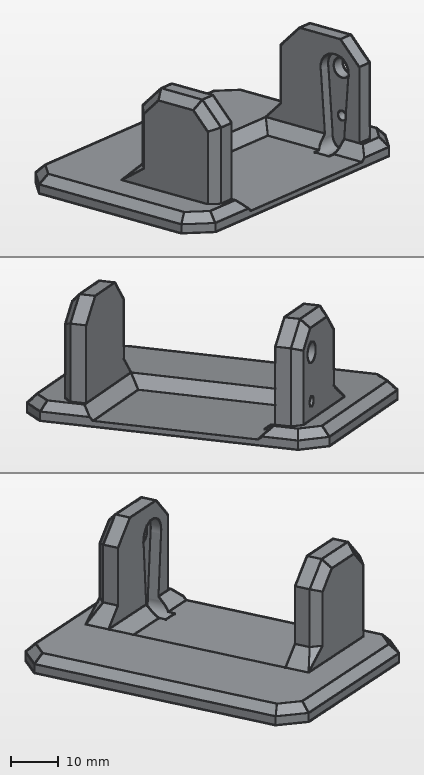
import cadquery as cq

length_x = 48.0
length_y = 68.0
total_height = 26.0
plate_height = 4.0
corner_cut = 5.0
edge_chamfer = 2.0
plate_right = length_x / 2

ear_left = 0.1
ear_right = 21.1
ear_thickness = 5.5
ear_corner = 5.0
inner_gap = 42.5
gap_center_y = 1.4
flare = 3.95
flare_left = ear_left - flare
flare_top = plate_height + flare
back_ear_face = gap_center_y + inner_gap / 2
front_ear_face = gap_center_y - inner_gap / 2

pocket_depth = 2.7

slot_x = 14.5
slot_depth = 2.5
slot_top_z = 18.55
slot_top_radius = 3.75
slot_bottom_z = 2.9
slot_bottom_radius = 2.5
slot_reach = 4.35
large_hole_diameter = 4.5
small_hole_diameter = 2.2
small_hole_z = 7.9


def make_plate():
    block = cq.Workplane("XY").box(length_x, length_y, plate_height, centered=(True, True, False))
    return block.edges("|Z").chamfer(corner_cut).faces(">Z").edges().chamfer(edge_chamfer)


def xz_plane(y):
    """Sketch plane facing +Y, with local axes along -X and Z."""
    return cq.Workplane(cq.Plane(origin=(0, y, 0), xDir=(-1, 0, 0), normal=(0, 1, 0)))


def outline(y, points):
    return xz_plane(y).polyline([(-x, z) for x, z in points]).close()


def tetrahedron(a, b, c, d):
    triangles = [(a, b, c), (a, b, d), (a, c, d), (b, c, d)]
    faces = []
    for triangle in triangles:
        corners = [cq.Vector(*point) for point in triangle]
        faces.append(cq.Face.makeFromWires(cq.Wire.makePolygon(corners, close=True)))
    return cq.Workplane(cq.Solid.makeSolid(cq.Shell.makeShell(faces)))


def make_ear():
    """Ear with its inner face at Y = 0 and its chamfered outer face toward +Y."""
    straight = ear_thickness - edge_chamfer
    root = plate_height - 2 * edge_chamfer
    profile = [
        (ear_left, root),
        (ear_left, total_height - ear_corner),
        (ear_left + ear_corner, total_height),
        (ear_right - ear_corner, total_height),
        (ear_right, total_height - ear_corner),
        (ear_right, root),
    ]
    ear = outline(0, profile).extrude(straight)
    ear = ear.union(outline(straight, profile).extrude(edge_chamfer, taper=45))

    foot_right = ear_left + edge_chamfer
    foot = outline(0, [
        (flare_left, plate_height),
        (ear_left, flare_top),
        (foot_right, flare_top),
        (foot_right, plate_height),
    ]).extrude(ear_thickness)
    foot = foot.cut(tetrahedron(
        (ear_left, straight, flare_top),
        (foot_right, ear_thickness, flare_top),
        (flare_left, ear_thickness, plate_height),
        (ear_left, ear_thickness, flare_top),
    ))
    below = cq.Workplane("XY").box(2 * length_x, length_y, plate_height, centered=(True, True, False))
    return ear.union(foot).cut(below)


def make_pocket():
    overshoot = 2 * pocket_depth
    size_x = plate_right + overshoot - flare_left
    return (
        cq.Workplane("XY", origin=(flare_left + size_x / 2, gap_center_y, plate_height))
        .rect(size_x, inner_gap)
        .extrude(-pocket_depth, taper=45)
    )


def y_cylinder(z, radius, start, end):
    return xz_plane(start).center(-slot_x, z).circle(radius).extrude(end - start)


def make_slot():
    """Two round ends joined by their common tangents, reaching out into the pocket floor."""
    start = back_ear_face - slot_reach
    floor = back_ear_face + slot_depth
    sine = (slot_top_radius - slot_bottom_radius) / (slot_top_z - slot_bottom_z)
    cosine = (1 - sine ** 2) ** 0.5
    right_side = [
        (slot_x + radius * cosine, z + radius * sine)
        for z, radius in ((slot_bottom_z, slot_bottom_radius), (slot_top_z, slot_top_radius))
    ]
    left_side = [(2 * slot_x - x, z) for x, z in reversed(right_side)]
    slot = outline(start, right_side + left_side).extrude(floor - start)
    slot = slot.union(y_cylinder(slot_bottom_z, slot_bottom_radius, start, floor))
    return slot.union(y_cylinder(slot_top_z, slot_top_radius, start, floor))


ear = make_ear()
back_ear = ear.translate((0, back_ear_face, 0))
front_ear = ear.mirror("XZ").translate((0, front_ear_face, 0))

result = make_plate().cut(make_pocket()).union(back_ear).union(front_ear).cut(make_slot())
for hole_z, diameter in ((slot_top_z, large_hole_diameter), (small_hole_z, small_hole_diameter)):
    result = result.cut(y_cylinder(hole_z, diameter / 2, back_ear_face, back_ear_face + ear_thickness))